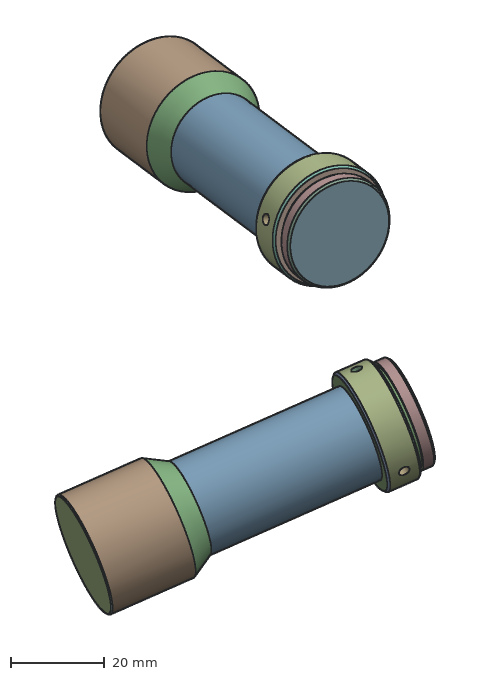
import cadquery as cq
import math

total_length = 77.7

head_radius = 14.0
head_length = 20.0
head_edge_chamfer = 0.3

tube_radius = 11.0
taper_half_angle = 30.0
taper_length = (head_radius - tube_radius) / math.tan(math.radians(taper_half_angle))

mount_radius = 25.4 / 2
mount_length = 4.0
mount_chamfer = 0.5
groove_radius = 12.0
groove_width = 1.0

collar_radius = head_radius
collar_length = 8.0
collar_chamfer = 0.5
collar_end = total_length - mount_length
collar_start = collar_end - collar_length

screw_hole_count = 3
screw_hole_radius = 1.25
screw_hole_depth = 2.5
drill_half_angle = 59.0
drill_tip_length = screw_hole_radius / math.tan(math.radians(drill_half_angle))
first_hole_angle = 46.0
hole_overshoot = 1.0


def turned_section(start, end, radius, start_chamfer=0.0, end_chamfer=0.0):
    """Solid cylinder along X between two stations, with optional 45-degree end chamfers."""
    section = cq.Workplane("YZ", origin=(start, 0, 0)).circle(radius).extrude(end - start)
    if start_chamfer:
        section = section.faces("<X").edges().chamfer(start_chamfer)
    if end_chamfer:
        section = section.faces(">X").edges().chamfer(end_chamfer)
    return section


def head_taper():
    """Cone that narrows from the head to the tube."""
    profile = (
        cq.Workplane("XY")
        .moveTo(head_length, 0)
        .lineTo(head_length, head_radius)
        .lineTo(head_length + taper_length, tube_radius)
        .lineTo(head_length + taper_length, 0)
        .close()
    )
    return profile.revolve(360, (0, 0, 0), (1, 0, 0))


def screw_hole(angle):
    """Radial drill shape at mid-collar, turned to the given angle about X."""
    hole_x = (collar_start + collar_end) / 2
    shoulder = collar_radius - screw_hole_depth
    outer_end = collar_radius + hole_overshoot
    drill = (
        cq.Workplane("XY")
        .moveTo(hole_x, shoulder - drill_tip_length)
        .lineTo(hole_x + screw_hole_radius, shoulder)
        .lineTo(hole_x + screw_hole_radius, outer_end)
        .lineTo(hole_x, outer_end)
        .close()
        .revolve(360, (hole_x, 0, 0), (hole_x, 1, 0))
    )
    return drill.rotate((0, 0, 0), (1, 0, 0), angle)


def barrel():
    """All the turned sections joined end to end."""
    body = turned_section(0, head_length, head_radius, start_chamfer=head_edge_chamfer)
    body = body.union(head_taper())
    body = body.union(turned_section(head_length + taper_length, collar_start, tube_radius))
    body = body.union(
        turned_section(collar_start, collar_end, collar_radius, collar_chamfer, collar_chamfer)
    )
    groove_end = collar_end + groove_width
    body = body.union(turned_section(collar_end, groove_end, groove_radius))
    return body.union(
        turned_section(groove_end, total_length, mount_radius, end_chamfer=mount_chamfer)
    )


result = barrel()
for index in range(screw_hole_count):
    hole_angle = first_hole_angle + index * 360 / screw_hole_count
    result = result.cut(screw_hole(hole_angle))